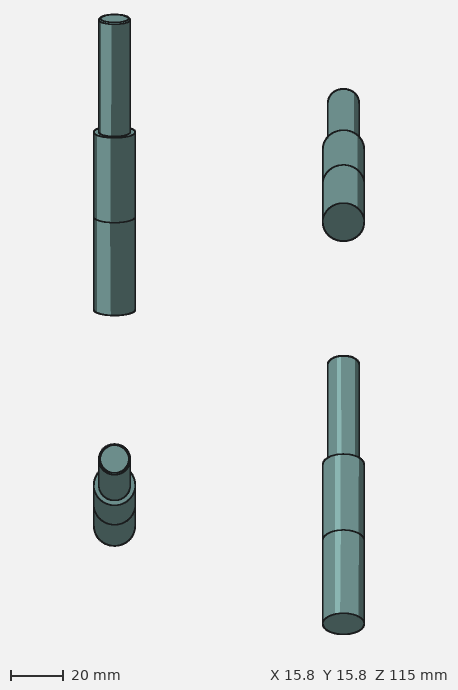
import cadquery as cq

total_length = 115.0
barrel_diameter = 15.8
rod_diameter = 12.0
rod_end_chamfer = 0.6

barrel_joint_height = 36.7
shoulder_height = 70.2


def make_base():
    """Plain cylinder forming the lower part of the barrel."""
    return cq.Workplane("XY").circle(barrel_diameter / 2).extrude(barrel_joint_height)


def make_stepped_shaft():
    """Upper barrel and the thinner rod that rises from its shoulder."""
    barrel = (
        cq.Workplane("XY")
        .workplane(offset=barrel_joint_height)
        .circle(barrel_diameter / 2)
        .extrude(shoulder_height - barrel_joint_height)
    )
    rod = (
        cq.Workplane("XY")
        .workplane(offset=shoulder_height)
        .circle(rod_diameter / 2)
        .extrude(total_length - shoulder_height)
        .faces(">Z")
        .chamfer(rod_end_chamfer)
    )
    return barrel.union(rod)


base = make_base()
stepped_shaft = make_stepped_shaft()

result = cq.Compound.makeCompound([base.val(), stepped_shaft.val()])